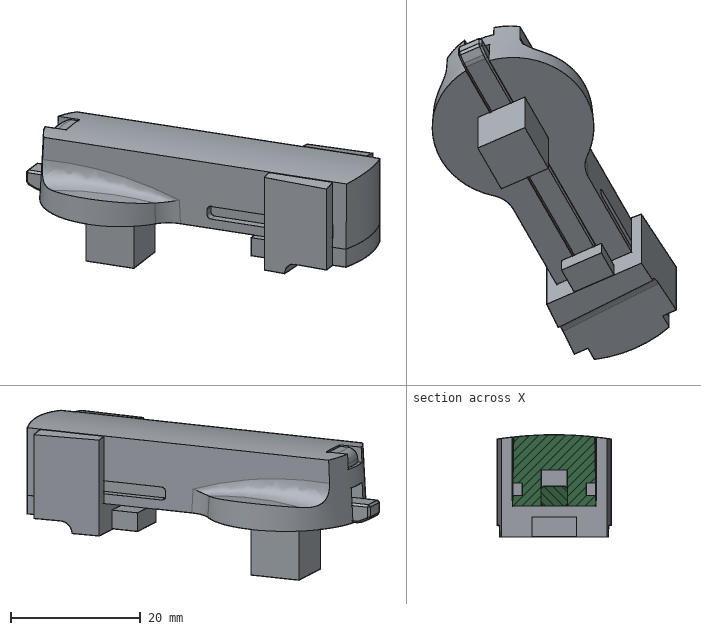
import cadquery as cq
import math


lever_end_x = 42.0
lever_half_width = 6.45
lever_side_draft = 1.0
top_z = 11.05
crown_radius = 57.15
end_sagitta = 1.05

hub_diameter = 25.0
hub_radius = hub_diameter / 2
hub_draft = 3.0
flare_radius = 4.6
flare_end_x = 13.15

hollow_wall_peak_z = 7.4
hollow_wall_peak_x = -7.45
hollow_wall_radius = 60.6
hollow_inner_y = 4.6
hollow_foot_y = 9.15
hollow_foot_slope = 0.12
rim_z = 4.1
rim_radius = 60.6
hollow_sections_x = (-13.7, -4.6, 4.6, 13.7)

shaft_width = 8.1
shaft_bottom_z = -9.5

notch_half_width = 2.5
notch_back_x = -8.05
notch_ledge_z = 8.6
notch_floor_z = 10.75
step_radius = 11.4
step_fillet = 1.65

slot_start_x = 17.5
slot_bottom_z = 1.55
slot_height = 2.05
slot_depth = 1.5
slot_corner_radius = 0.7

cheek_front_x = 27.95
cheek_rear_x = 38.75
cheek_front_y = 8.2
cheek_rear_y = 8.8
slider_bottom_z = -4.8
end_block_bottom_z = -3.0
relief_start_x = 31.5
catch_front_x = 23.6
catch_half_width = 3.45
catch_top_z = -1.7
catch_bottom_z = -4.7
tongue_tip_x = -15.15
tongue_half_width = 2.0
tongue_height = 3.1
tongue_tip_z = 0.85
tongue_ramp_end_x = -13.25
tongue_chamfer = 0.35
channel_height = 5.55

clear = 17.15


def box(x_range, y_range, z_range):
    """Box between the given limits."""
    size = [high - low for low, high in (x_range, y_range, z_range)]
    return cq.Workplane("XY").box(*size, centered=False).translate((x_range[0], y_range[0], z_range[0]))


def lever_half_width_at(z):
    return lever_half_width - z * math.tan(math.radians(lever_side_draft))


def below_crown(bottom_z):
    """Block under the crowned top, along the whole part and wider than it."""
    edge_z = top_z - crown_radius + math.sqrt(crown_radius**2 - clear**2)
    profile = (
        cq.Workplane("YZ")
        .moveTo(-clear, bottom_z)
        .lineTo(clear, bottom_z)
        .lineTo(clear, edge_z)
        .threePointArc((0, top_z), (-clear, edge_z))
        .close()
    )
    return profile.extrude(2 * lever_end_x, both=True)


def bowed_strip(start_x, bottom_z, height):
    """Strip of the lever's width that stops at the bowed end."""
    corner_x = lever_end_x - end_sagitta
    return (
        cq.Workplane("XY", origin=(0, 0, bottom_z))
        .moveTo(start_x, -lever_half_width)
        .lineTo(corner_x, -lever_half_width)
        .threePointArc((lever_end_x, 0), (corner_x, lever_half_width))
        .lineTo(start_x, lever_half_width)
        .close()
        .extrude(height)
    )


def hub_cone():
    """Drafted disc over the full height of the handle."""
    return cq.Workplane("XY").circle(hub_radius).extrude(top_z, taper=hub_draft)


def lever():
    """Bar with drafted sides, round at the hub and bowed at the far end."""
    top_half_width = lever_half_width_at(top_z)
    section = [
        (-lever_half_width, 0),
        (lever_half_width, 0),
        (top_half_width, top_z),
        (-top_half_width, top_z),
    ]
    bar = cq.Workplane("YZ").polyline(section).close().extrude(2 * lever_end_x, both=True)
    return bar.intersect(hub_cone()).union(bar.intersect(bowed_strip(0, 0, top_z)))


def flared_hub():
    """Cone and lever together, with the corners between them rounded out."""
    joined = lever().union(hub_cone())
    corner_zone = cq.selectors.BoxSelector((lever_half_width, -clear, 0), (hub_radius, clear, top_z))
    flared = joined.edges(corner_zone).edges("not #Z").fillet(flare_radius)
    return flared.intersect(box((-clear, flare_end_x), (-clear, clear), (0, top_z)))


def hollow_section(x):
    """Outline of the hollow on the +Y side, at one place along the lever.

    It reaches into the lever's width, which the lever fills again.
    """
    arc_center_z = hollow_wall_peak_z - hollow_wall_radius
    wall_z = arc_center_z + math.sqrt(hollow_wall_radius**2 - (x - hollow_wall_peak_x) ** 2)
    wall_y = lever_half_width_at(wall_z)
    foot_y = hollow_foot_y - hollow_foot_slope * x
    foot_z = rim_z - rim_radius + math.sqrt(rim_radius**2 - x**2)
    return (
        cq.Workplane("YZ", origin=(x, 0, 0))
        .moveTo(wall_y, wall_z)
        .spline([(foot_y, foot_z)], tangents=[(0, -1), (1, 0)], includeCurrent=True)
        .lineTo(clear, foot_z)
        .lineTo(clear, clear)
        .lineTo(hollow_inner_y, clear)
        .lineTo(hollow_inner_y, wall_z)
        .close()
        .val()
    )


def hollow():
    sections = [hollow_section(x) for x in hollow_sections_x]
    return cq.Workplane(cq.Solid.makeLoft(sections))


def notch():
    """Pocket with a ledge at the front and a rounded step behind it."""
    pocket = box((-clear, notch_back_x), (-notch_half_width, notch_half_width), (notch_ledge_z, clear))
    step = (
        cq.Workplane("XY", origin=(0, 0, notch_ledge_z))
        .circle(step_radius)
        .extrude(notch_floor_z - notch_ledge_z, taper=hub_draft)
        .faces(">Z")
        .edges()
        .fillet(step_fillet)
    )
    return pocket.cut(step)


def side_slot():
    """Slot on the +Y side, rounded at the front and running on behind the cheek."""
    y_range = (lever_half_width - slot_depth, clear)
    z_range = (slot_bottom_z, slot_bottom_z + slot_height)
    slot = box((slot_start_x, cheek_rear_x), y_range, z_range)
    return slot.edges("<X and |Y").fillet(slot_corner_radius)


def tongue_channel():
    """Channel for the tongue, open at the front and along the underside."""
    return box((-clear, cheek_rear_x), (-tongue_half_width, tongue_half_width), (0, channel_height))


def cut_on_both_sides(body, cut):
    return body.cut(cut).cut(cut.mirror("XZ"))


def make_handle():
    hollowed_hub = cut_on_both_sides(flared_hub(), hollow())
    body = lever().union(hollowed_hub).intersect(below_crown(0))
    body = cut_on_both_sides(body, side_slot())
    half_shaft = shaft_width / 2
    shaft = box((-half_shaft, half_shaft), (-half_shaft, half_shaft), (shaft_bottom_z, 0))
    return body.cut(notch()).cut(tongue_channel()).union(shaft)


def cheek():
    """Wedge-shaped grip on the +Y side of the lever."""
    plan = [
        (cheek_front_x, lever_half_width),
        (cheek_rear_x, lever_half_width),
        (cheek_rear_x, cheek_rear_y),
        (cheek_front_x, cheek_front_y),
    ]
    prism = cq.Workplane("XY", origin=(0, 0, slider_bottom_z)).polyline(plan).close()
    return prism.extrude(top_z - slider_bottom_z).intersect(below_crown(slider_bottom_z))


def relief():
    """Rounded cut under the rear, square to the -Y cheek's outer face."""
    radius = end_block_bottom_z - slider_bottom_z
    slant = math.degrees(math.atan2(cheek_rear_y - cheek_front_y, cheek_rear_x - cheek_front_x))
    corner_x = relief_start_x + radius
    profile = (
        cq.Workplane("XZ")
        .moveTo(-radius, -clear)
        .lineTo(-radius, 0)
        .threePointArc((-radius * math.sqrt(0.5), radius * math.sqrt(0.5)), (0, radius))
        .lineTo(clear, radius)
        .lineTo(clear, -clear)
        .close()
    )
    cut = profile.extrude(2 * clear, both=True).rotate((0, 0, 0), (0, 0, 1), -slant)
    shift = cheek_front_y * math.tan(math.radians(slant))
    return cut.translate((corner_x + shift, 0, slider_bottom_z))


def tongue():
    """Bar through the handle, with a ramped and chamfered tip."""
    side = [
        (tongue_tip_x, tongue_height),
        (tongue_tip_x, tongue_tip_z),
        (tongue_ramp_end_x, 0),
        (cheek_rear_x, 0),
        (cheek_rear_x, tongue_height),
    ]
    bar = cq.Workplane("XZ").polyline(side).close().extrude(tongue_half_width, both=True)
    return bar.edges("not >X").chamfer(tongue_chamfer)


def make_slider():
    block_height = -slider_bottom_z
    body = bowed_strip(cheek_front_x, slider_bottom_z, block_height)
    body = body.union(cheek()).union(cheek().mirror("XZ")).cut(relief())
    catch = box(
        (catch_front_x, cheek_front_x),
        (-catch_half_width, catch_half_width),
        (catch_bottom_z, catch_top_z),
    )
    return body.union(catch).union(tongue())


handle = make_handle()
slider = make_slider()
result = cq.Compound.makeCompound([handle.val(), slider.val()])